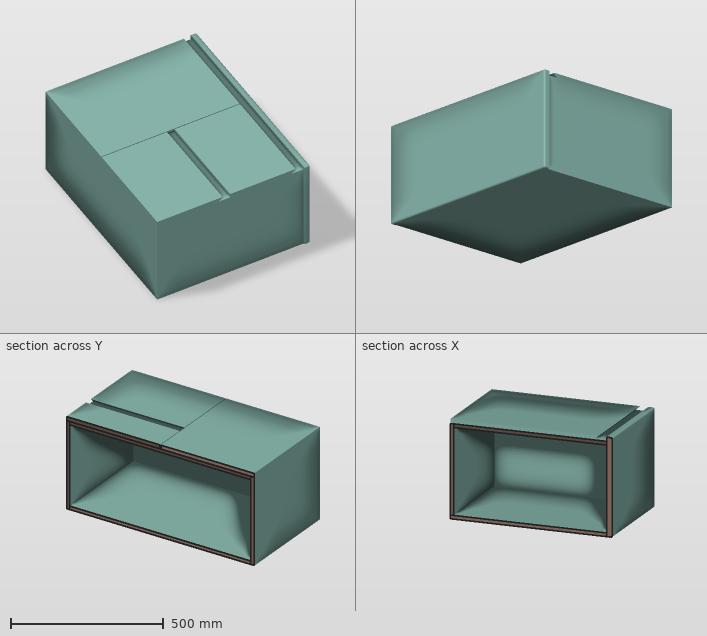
import cadquery as cq


total_width = 750.0
total_length = 572.0
total_depth = 341.0

top_thickness = 22.0
top_overhang = 7.5
top_edge_radius = 6.0

board = 14.0
front_thickness = 14.0
grip_gap = 28.5
door_gap = 3.0

cabinet_width = total_width - 2 * top_overhang
cabinet_length = total_length - top_thickness
cabinet_depth = total_depth - front_thickness
inner_width = cabinet_width - 2 * board
front_width = (cabinet_width - door_gap) / 2
door_length = cabinet_length - grip_gap
drawer_length = (door_length - grip_gap) / 2


def block(x, y, z, width, length, depth):
    """Box with its lowest corner at (x, y, z)."""
    return cq.Workplane("XY").box(width, length, depth, centered=False).translate((x, y, z))


def make_countertop():
    """Slab with every edge rounded except those around its underside."""
    slab = block(-total_width / 2, cabinet_length, 0, total_width, top_thickness, total_depth)
    return slab.edges("not <Y").fillet(top_edge_radius)


def make_side(x):
    """Side board whose lowest X is at x."""
    return block(x, 0, 0, board, cabinet_length, cabinet_depth)


def make_back_panel():
    """Board on the wall side, between the side boards."""
    return block(-inner_width / 2, 0, 0, inner_width, cabinet_length, board)


def make_bottom_panel():
    """Cabinet floor, between the side boards and in front of the back panel."""
    return block(-inner_width / 2, 0, board, inner_width, board, cabinet_depth - board)


def make_inner_front_panel():
    """Board behind the door and drawers, flush with the side boards."""
    return block(
        -inner_width / 2, board, cabinet_depth - board, inner_width, cabinet_length - board, board
    )


def make_front(x, y, length):
    """Door or drawer front whose +Y edge is undercut at 45 degrees as a finger grip."""
    profile = [
        (y, cabinet_depth),
        (y + length - front_thickness, cabinet_depth),
        (y + length, total_depth),
        (y, total_depth),
    ]
    return cq.Workplane("YZ").workplane(offset=x).polyline(profile).close().extrude(front_width)


countertop = make_countertop()
sides = [make_side(x) for x in (-cabinet_width / 2, cabinet_width / 2 - board)]
back_panel = make_back_panel()
bottom_panel = make_bottom_panel()
inner_front_panel = make_inner_front_panel()
door = make_front(-cabinet_width / 2, 0, door_length)
drawer_fronts = [
    make_front(door_gap / 2, y, drawer_length) for y in (0, drawer_length + grip_gap)
]

result = cq.Compound.makeCompound([
    countertop.val(),
    *[side.val() for side in sides],
    back_panel.val(),
    bottom_panel.val(),
    inner_front_panel.val(),
    door.val(),
    *[drawer_front.val() for drawer_front in drawer_fronts],
])